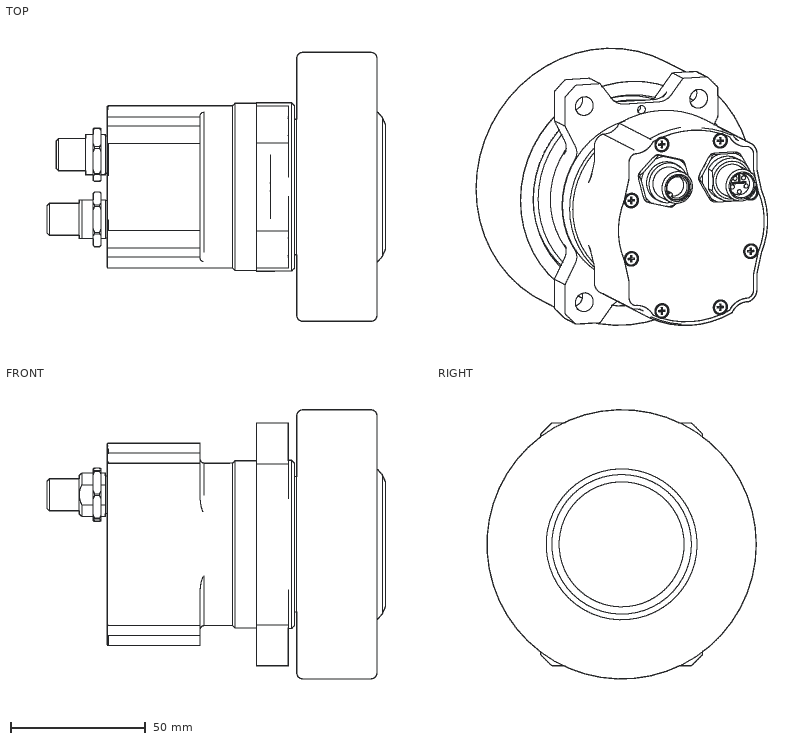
import cadquery as cq
import math


OVERLAP = 1.0
TOLERANCE = 0.05

BODY_RADIUS = 30.2
LOBE_RADIUS = 37.6
LOBE_END_X = 34.5
COVER_EDGE_FILLET = 0.6
COVER_INSET = 1.5
COVER_RECESS_DEPTH = 0.2
ROOT_FILLET = 1.5
CROWN_END = (16.2, 33.8)
HOLLOW_MID = (18.7, 31.0)
HOLLOW_END = (22.6, 30.1)
SHOULDER_MID = (25.2, 28.2)
SHOULDER_END = (26.0, 26.0)
FLANK_END = (26.0, 19.7)
BODY_START_Z = 11.8

BODY_END_X = 46.6
COLLAR_RADIUS = 31.1
COLLAR_START_X = 47.5
FLANGE_RADIUS = 31.3
FLANGE_START_X = 55.4
FLANGE_END_X = 67.3
FLANGE_RING_END_X = 69.6
FLANGE_RING_CHAMFER = 1.2

EAR_HALF_WIDTH = 30.1
EAR_HALF_HEIGHT = 45.1
EAR_CORNER_CHAMFER = 4.2
EAR_INNER_Y = 16.3
EAR_SIDE_Z = 29.9
EAR_ROOT_SIDE = (24.2, 18.5)
EAR_ROOT_TOP = (4.0, 29.2)
EAR_SIDE_FILLET = 5.0
EAR_TOP_FILLET = 3.0
EAR_CORNER_FILLET = 1.0
EAR_HOLE_DIAMETER = 7.0
EAR_HOLE_Y = 22.5
EAR_HOLE_Z = 37.0

BRIDGE_TOP_Z = 36.8
BRIDGE_FILLET = 6.3
BRIDGE_THICKNESS = 5.2
BRIDGE_HOLE_DIAMETER = 3.0
BRIDGE_HOLE_Z = 34.3

SHAFT_RADIUS = 25.2
WHEEL_RADIUS = 50.0
WHEEL_START_X = 70.3
WHEEL_END_X = 100.2
WHEEL_EDGE_FILLET = 2.4
FACE_RADIUS = 42.3
FACE_STEP = 0.3
GROOVE_INNER_RADIUS = 35.3
GROOVE_FLOOR_RADIUS = 36.3
GROOVE_OUTER_RADIUS = 37.2
GROOVE_DEPTH = 3.0
CAP_BASE_RADIUS = 28.0
CAP_SHOULDER_RADIUS = 25.9
CAP_SHOULDER_X = 102.1
CAP_TIP_RADIUS = 23.2
CAP_END_X = 103.3

SCREW_HEAD_DIAMETER = 4.7
SCREW_POCKET_DIAMETER = 5.5
SCREW_POCKET_DEPTH = 0.5
CROSS_LENGTH = 2.46
CROSS_WIDTH = 0.5
CROSS_DEPTH = 1.0
SCREW_POSITIONS = [(11.5, 31.4), (23.5, 11.0)]

CONNECTOR_Y = 12.0
CONNECTOR_Z = 18.4
BARREL_RADIUS = 6.0
BARREL_CHAMFER = 0.9
NUT_WIDTH = 18.0
NUT_START_X = -5.2
NUT_END_X = -2.2
NUT_ROUND_RADIUS = 10.2
NUT_CHAMFER = 0.6
COLLAR_END_X = -0.6
GASKET_RADIUS = 7.0

MALE_TIP_X = -18.9
MALE_COLLAR_X = -8.0
MALE_COLLAR_RADIUS = 7.5
MALE_MOUTH_DIAMETER = 9.2
MALE_MOUTH_DEPTH = 1.0
MALE_BORE_DIAMETER = 8.0
MALE_BORE_DEPTH = 5.0
MALE_KEY_DIAMETER = 1.5
MALE_KEY_OFFSET = 2.6
MALE_NUT_ANGLE = 15.0
FEMALE_TIP_X = -22.3
FEMALE_COLLAR_X = -10.4
FEMALE_COLLAR_RADIUS = 8.1
FEMALE_FLAT_HALF_WIDTH = 7.2
FEMALE_COLLAR_CHAMFER = 1.0
FEMALE_BORE_DIAMETER = 9.2
FEMALE_INSERT_DIAMETER = 8.0
FEMALE_BORE_DEPTH = 7.5
FEMALE_INSERT_SETBACK = 3.0
INSERT_SLOT_WIDTH = 0.5
INSERT_SLOT_DEPTH = 1.0
INSERT_SLOT_SPAN = 5.4
INSERT_SLOT_HEIGHT = 3.0
INSERT_SLOT_RISE = 0.5
PIN_COUNT = 5
PIN_CIRCLE_RADIUS = 2.85
PIN_HOLE_DIAMETER = 1.55
PIN_HOLE_DEPTH = 4.0


def plane_at(x, y=0, z=0):
    """Sketch plane facing +X whose local axes are the part's Y and Z."""
    return cq.Workplane(cq.Plane(origin=(x, y, z), xDir=(0, 1, 0), normal=(1, 0, 0)))


def disc(radius, start, end, y=0, z=0):
    return plane_at(start, y, z).circle(radius).extrude(end - start)


def turned(profile):
    """Revolve a closed (x, radius) profile about the X axis."""
    return cq.Workplane("XY").polyline(profile).close().revolve(360, (0, 0, 0), (1, 0, 0))


def mirrored(point, side_y, side_z):
    return (side_y * point[0], side_z * point[1])


def housing_outline(x):
    """Housing contour: round sides with a lobed crown above and below."""
    body_start = (math.sqrt(BODY_RADIUS**2 - BODY_START_Z**2), BODY_START_Z)
    sketch = plane_at(x).moveTo(*body_start)
    for side_z in (1, -1):
        near = side_z
        far = -side_z
        sketch = (
            sketch.lineTo(*mirrored(FLANK_END, near, side_z))
            .lineTo(*mirrored(SHOULDER_END, near, side_z))
            .threePointArc(mirrored(SHOULDER_MID, near, side_z), mirrored(HOLLOW_END, near, side_z))
            .threePointArc(mirrored(HOLLOW_MID, near, side_z), mirrored(CROWN_END, near, side_z))
            .threePointArc((0, side_z * LOBE_RADIUS), mirrored(CROWN_END, far, side_z))
            .threePointArc(mirrored(HOLLOW_MID, far, side_z), mirrored(HOLLOW_END, far, side_z))
            .threePointArc(mirrored(SHOULDER_MID, far, side_z), mirrored(SHOULDER_END, far, side_z))
            .lineTo(*mirrored(FLANK_END, far, side_z))
            .lineTo(*mirrored(body_start, far, side_z))
            .threePointArc((far * BODY_RADIUS, 0), mirrored(body_start, far, -side_z))
        )
    return sketch.close()


def make_housing():
    housing = housing_outline(0).extrude(LOBE_END_X)
    housing = housing.faces("<X").edges().fillet(COVER_EDGE_FILLET)
    recess = housing_outline(0).offset2D(-COVER_INSET).extrude(COVER_RECESS_DEPTH)
    housing = housing.cut(recess)
    root_end = LOBE_END_X + ROOT_FILLET
    root_radius = BODY_RADIUS + ROOT_FILLET
    bend = ROOT_FILLET * (1 - math.sqrt(0.5))
    root = (
        cq.Workplane("XY")
        .moveTo(LOBE_END_X - OVERLAP, 0)
        .lineTo(LOBE_END_X - OVERLAP, root_radius)
        .lineTo(LOBE_END_X, root_radius)
        .threePointArc((LOBE_END_X + bend, BODY_RADIUS + bend), (root_end, BODY_RADIUS))
        .lineTo(root_end, 0)
        .close()
        .revolve(360, (0, 0, 0), (1, 0, 0))
    )
    return housing.union(root.intersect(housing_outline(0).extrude(root_end)))


def make_body_and_flange_ring():
    """Round motor body, its collar and the round flange rim."""
    return turned(
        [
            (COVER_EDGE_FILLET, 0),
            (COVER_EDGE_FILLET, BODY_RADIUS),
            (BODY_END_X, BODY_RADIUS),
            (COLLAR_START_X, COLLAR_RADIUS),
            (FLANGE_START_X, COLLAR_RADIUS),
            (FLANGE_START_X, FLANGE_RADIUS),
            (FLANGE_RING_END_X - FLANGE_RING_CHAMFER, FLANGE_RADIUS),
            (FLANGE_RING_END_X, FLANGE_RADIUS - FLANGE_RING_CHAMFER),
            (FLANGE_RING_END_X, 0),
        ]
    )


def make_ear(side_y, side_z):
    corner_y = EAR_HALF_WIDTH - EAR_CORNER_CHAMFER
    corner_z = EAR_HALF_HEIGHT - EAR_CORNER_CHAMFER
    outline = [
        (0, 0),
        EAR_ROOT_SIDE,
        (EAR_HALF_WIDTH, EAR_SIDE_Z),
        (EAR_HALF_WIDTH, corner_z),
        (corner_y, EAR_HALF_HEIGHT),
        (EAR_INNER_Y, EAR_HALF_HEIGHT),
        EAR_ROOT_TOP,
    ]
    return (
        plane_at(FLANGE_START_X)
        .polyline([mirrored(point, side_y, side_z) for point in outline])
        .close()
        .extrude(FLANGE_END_X - FLANGE_START_X)
    )


def fillet_edges(body, radius, wanted):
    """Round the edges parallel to X whose distances (|y|, |z|) from the axis planes are wanted."""
    chosen = []
    for edge in body.edges("|X").vals():
        center = edge.Center()
        if wanted(abs(center.y), abs(center.z)):
            chosen.append(edge)
    return body.newObject(chosen).fillet(radius)


def on_rim(y, z):
    return abs(math.hypot(y, z) - FLANGE_RADIUS) < TOLERANCE


def is_ear_corner(y, z):
    """True at both ends of the chamfer on the outer corner of an ear."""
    chamfer_sum = EAR_HALF_WIDTH + EAR_HALF_HEIGHT - EAR_CORNER_CHAMFER
    return abs(y + z - chamfer_sum) < TOLERANCE


def make_ears():
    """Four ears on the flange, blended into its round rim."""
    ears = disc(FLANGE_RADIUS, FLANGE_START_X, FLANGE_END_X)
    for side_y in (1, -1):
        for side_z in (1, -1):
            ears = ears.union(make_ear(side_y, side_z))
    ears = fillet_edges(ears, EAR_SIDE_FILLET, lambda y, z: on_rim(y, z) and y > z)
    ears = fillet_edges(ears, EAR_TOP_FILLET, lambda y, z: on_rim(y, z) and y < z)
    ears = fillet_edges(ears, EAR_CORNER_FILLET, is_ear_corner)
    for side_z in (1, -1):
        ears = ears.union(make_bridge(side_z))
    return ears


def make_bridge(side_z):
    """Thin web joining a pair of ears, with a rounded seat between them."""
    slope = (EAR_HALF_HEIGHT - EAR_ROOT_TOP[1]) / (EAR_INNER_Y - EAR_ROOT_TOP[0])
    foot_y = EAR_INNER_Y - (EAR_HALF_HEIGHT - BRIDGE_TOP_Z) / slope
    outline = [
        (-EAR_INNER_Y, 0),
        (EAR_INNER_Y, 0),
        (EAR_INNER_Y, EAR_HALF_HEIGHT),
        (foot_y, BRIDGE_TOP_Z),
        (-foot_y, BRIDGE_TOP_Z),
        (-EAR_INNER_Y, EAR_HALF_HEIGHT),
    ]
    bridge = (
        plane_at(FLANGE_START_X)
        .polyline([mirrored(point, 1, side_z) for point in outline])
        .close()
        .extrude(BRIDGE_THICKNESS)
    )
    return fillet_edges(bridge, BRIDGE_FILLET, lambda y, z: abs(y - foot_y) < TOLERANCE)


def flange_holes():
    length = FLANGE_END_X - FLANGE_START_X
    ear_holes = (
        plane_at(FLANGE_START_X)
        .rect(2 * EAR_HOLE_Y, 2 * EAR_HOLE_Z, forConstruction=True)
        .vertices()
        .circle(EAR_HOLE_DIAMETER / 2)
        .extrude(length)
    )
    bridge_holes = (
        plane_at(FLANGE_START_X)
        .pushPoints([(0, BRIDGE_HOLE_Z), (0, -BRIDGE_HOLE_Z)])
        .circle(BRIDGE_HOLE_DIAMETER / 2)
        .extrude(length)
    )
    return ear_holes.union(bridge_holes)


def make_wheel():
    tyre = disc(WHEEL_RADIUS, WHEEL_START_X, WHEEL_END_X).edges().fillet(WHEEL_EDGE_FILLET)
    face_x = WHEEL_START_X + FACE_STEP
    groove_x = face_x + GROOVE_DEPTH
    tyre = tyre.cut(disc(FACE_RADIUS, WHEEL_START_X, face_x))
    groove = turned(
        [
            (face_x, GROOVE_INNER_RADIUS),
            (face_x, GROOVE_OUTER_RADIUS),
            (groove_x, GROOVE_FLOOR_RADIUS),
        ]
    )
    tyre = tyre.cut(groove)
    cap = turned(
        [
            (WHEEL_END_X, 0),
            (WHEEL_END_X, CAP_BASE_RADIUS),
            (CAP_SHOULDER_X, CAP_SHOULDER_RADIUS),
            (CAP_END_X, CAP_TIP_RADIUS),
            (CAP_END_X, 0),
        ]
    )
    shaft = disc(SHAFT_RADIUS, FLANGE_RING_END_X - OVERLAP, WHEEL_END_X)
    return tyre.union(cap).union(shaft)


def add_screws(part):
    """Recessed cross-head screws around the edge of the cover."""
    for y, z in SCREW_POSITIONS:
        for side_y in (1, -1):
            for side_z in (1, -1):
                part = add_screw(part, side_y * y, side_z * z)
    return part


def add_screw(part, y, z):
    pocket = plane_at(0, y, z).circle(SCREW_POCKET_DIAMETER / 2).circle(SCREW_HEAD_DIAMETER / 2)
    cross = plane_at(0, y, z).rect(CROSS_LENGTH, CROSS_WIDTH).extrude(CROSS_DEPTH)
    cross = cross.union(plane_at(0, y, z).rect(CROSS_WIDTH, CROSS_LENGTH).extrude(CROSS_DEPTH))
    return part.cut(pocket.extrude(SCREW_POCKET_DEPTH)).cut(cross)


def make_nut(y, angle):
    corner_diameter = NUT_WIDTH / math.cos(math.pi / 6)
    thickness = NUT_END_X - NUT_START_X
    nut = plane_at(NUT_START_X).polygon(6, corner_diameter).extrude(thickness)
    rounding = disc(NUT_ROUND_RADIUS, NUT_START_X, NUT_END_X).edges().chamfer(NUT_CHAMFER)
    nut = nut.intersect(rounding).rotate((0, 0, 0), (1, 0, 0), angle)
    return nut.translate((0, y, CONNECTOR_Z))


def make_barrel(y, tip_x):
    barrel = disc(BARREL_RADIUS, tip_x, OVERLAP, y, CONNECTOR_Z)
    gasket = disc(GASKET_RADIUS, COLLAR_END_X, OVERLAP, y, CONNECTOR_Z)
    return barrel.faces("<X").chamfer(BARREL_CHAMFER).union(gasket)


def make_male_connector():
    y = CONNECTOR_Y
    collar = disc(MALE_COLLAR_RADIUS, MALE_COLLAR_X, COLLAR_END_X, y, CONNECTOR_Z)
    mouth_x = MALE_TIP_X + MALE_MOUTH_DEPTH
    bore = disc(MALE_BORE_DIAMETER / 2, MALE_TIP_X, MALE_TIP_X + MALE_BORE_DEPTH, y, CONNECTOR_Z)
    body = make_barrel(y, MALE_TIP_X).union(collar).union(make_nut(y, MALE_NUT_ANGLE))
    mouth = disc(MALE_MOUTH_DIAMETER / 2, MALE_TIP_X, mouth_x, y, CONNECTOR_Z)
    key_y = y + MALE_KEY_OFFSET
    key_z = CONNECTOR_Z - MALE_KEY_OFFSET
    key = disc(MALE_KEY_DIAMETER / 2, mouth_x, MALE_TIP_X + MALE_BORE_DEPTH, key_y, key_z)
    return body.cut(mouth).cut(bore.cut(key))


def make_female_connector():
    y = -CONNECTOR_Y
    collar = disc(FEMALE_COLLAR_RADIUS, FEMALE_COLLAR_X, COLLAR_END_X, y, CONNECTOR_Z)
    collar = collar.faces("<X").chamfer(FEMALE_COLLAR_CHAMFER)
    flats = plane_at(FEMALE_COLLAR_X, y, CONNECTOR_Z).rect(
        2 * FEMALE_FLAT_HALF_WIDTH, 2 * FEMALE_COLLAR_RADIUS
    )
    collar = collar.intersect(flats.extrude(COLLAR_END_X - FEMALE_COLLAR_X))
    insert_x = FEMALE_TIP_X + FEMALE_INSERT_SETBACK
    floor_x = FEMALE_TIP_X + FEMALE_BORE_DEPTH
    bore = disc(FEMALE_BORE_DIAMETER / 2, FEMALE_TIP_X, floor_x, y, CONNECTOR_Z)
    insert = disc(FEMALE_INSERT_DIAMETER / 2, insert_x, floor_x, y, CONNECTOR_Z)
    sockets = (
        plane_at(insert_x, y, CONNECTOR_Z)
        .polarArray(PIN_CIRCLE_RADIUS, -90, 360, PIN_COUNT)
        .circle(PIN_HOLE_DIAMETER / 2)
        .extrude(PIN_HOLE_DEPTH)
    )
    slot_plane = plane_at(insert_x, y, CONNECTOR_Z + INSERT_SLOT_RISE)
    cross_slot = slot_plane.rect(INSERT_SLOT_SPAN, INSERT_SLOT_WIDTH).extrude(INSERT_SLOT_DEPTH)
    upright_slot = (
        slot_plane.center(0, INSERT_SLOT_HEIGHT / 2)
        .rect(INSERT_SLOT_WIDTH, INSERT_SLOT_HEIGHT)
        .extrude(INSERT_SLOT_DEPTH)
    )
    insert = insert.cut(sockets).cut(cross_slot).cut(upright_slot)
    body = make_barrel(y, FEMALE_TIP_X).union(collar).union(make_nut(y, 0))
    return body.cut(bore).union(insert)


flange = make_ears().union(make_body_and_flange_ring()).cut(flange_holes())
drive = add_screws(make_housing()).union(flange).union(make_wheel())
result = drive.union(make_male_connector()).union(make_female_connector())